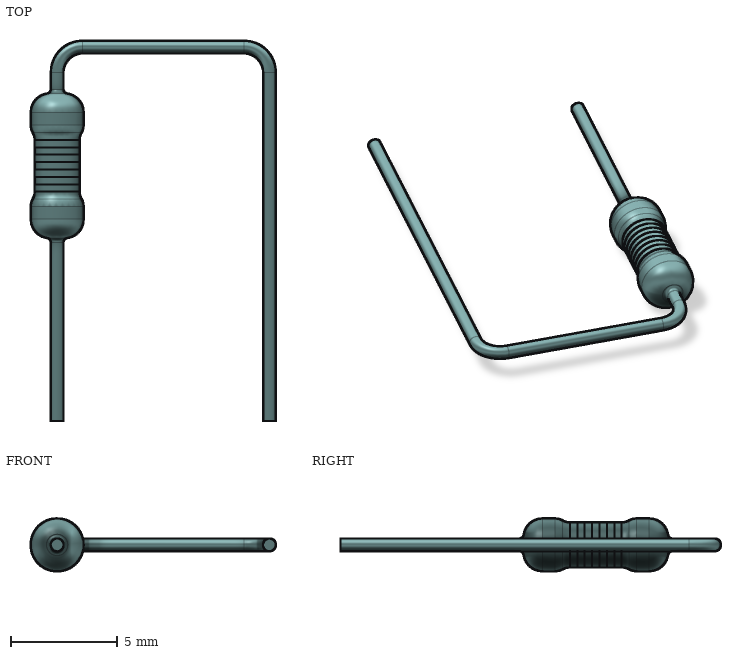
import cadquery as cq

wire_diameter = 0.6
lead_pitch = 9.99
overall_length = 17.9
bend_radius = 1.2

body_center_y = 12.01
cap_diameter = 2.5
waist_diameter = 2.13
band_diameter = 2.15
collar_diameter = 1.0

waist_half_length = 1.22
cap_inner = 1.92
cap_outer = 2.5
collar_position = 3.4
flare_end = 3.6

segment_count = 7
segment_length = 2 * waist_half_length / segment_count

wire_radius = wire_diameter / 2
cap_radius = cap_diameter / 2
waist_radius = waist_diameter / 2
collar_radius = collar_diameter / 2


def make_end_cap():
    """Revolve the cap at the +Y end: shoulder, cylinder, rounded end and flare to the wire."""
    shoulder_mid_radius = (cap_radius + waist_radius) / 2
    shoulder_mid = (cap_inner + waist_half_length) / 2
    arc_rise = cap_radius - shoulder_mid_radius
    arc_run = cap_inner - shoulder_mid
    shoulder_arc_radius = (arc_rise**2 + arc_run**2) / (2 * arc_rise)
    profile = (
        cq.Workplane("XY")
        .moveTo(0, waist_half_length)
        .lineTo(waist_radius, waist_half_length)
        .radiusArc((shoulder_mid_radius, shoulder_mid), shoulder_arc_radius)
        .radiusArc((cap_radius, cap_inner), -shoulder_arc_radius)
        .lineTo(cap_radius, cap_outer)
        .tangentArcPoint((collar_radius, collar_position), relative=False)
        .radiusArc((wire_radius, flare_end), collar_radius - wire_radius)
        .lineTo(0, flare_end)
        .close()
    )
    return profile.revolve(360, (0, 0, 0), (0, 1, 0))


def make_waist():
    """Stack waist segments along Y; every second one is a slightly raised colour band."""
    waist = None
    for index in range(segment_count):
        is_band = index % 2 == 0
        diameter = band_diameter if is_band else waist_diameter
        start = -waist_half_length + index * segment_length
        segment = (
            cq.Workplane("XZ", origin=(0, start, 0))
            .circle(diameter / 2)
            .extrude(-segment_length)
        )
        waist = segment if waist is None else waist.union(segment)
    return waist


def make_body():
    """Join the waist and two mirrored end caps, then place them on the lead."""
    cap = make_end_cap()
    body = make_waist().union(cap).union(cap.mirror("XZ"))
    return body.translate((0, body_center_y, 0))


def make_wire():
    """Sweep the round wire through the body, over the two bends and back down."""
    bridge_y = overall_length - wire_radius
    bend_start_y = bridge_y - bend_radius
    path = (
        cq.Workplane("XY")
        .lineTo(0, bend_start_y)
        .tangentArcPoint((bend_radius, bridge_y), relative=False)
        .lineTo(lead_pitch - bend_radius, bridge_y)
        .tangentArcPoint((lead_pitch, bend_start_y), relative=False)
        .lineTo(lead_pitch, 0)
    )
    return cq.Workplane("XZ").circle(wire_radius).sweep(path)


result = make_body().union(make_wire())